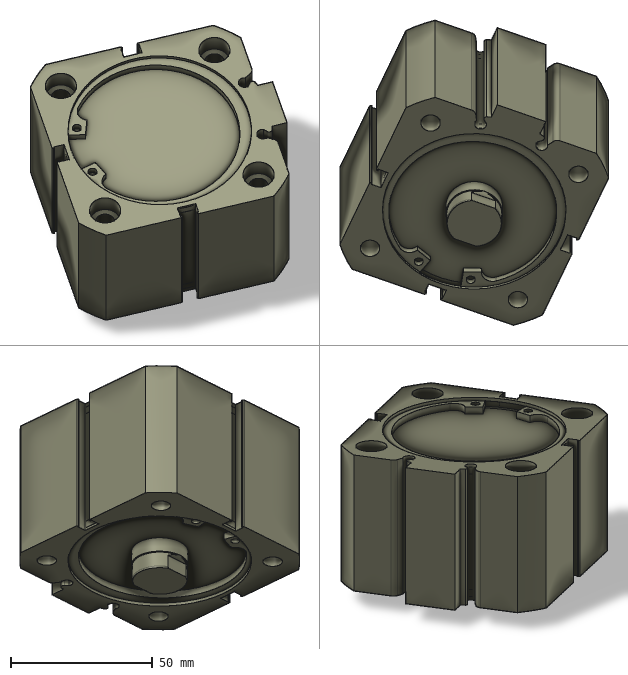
import cadquery as cq
import math

side = 77.5
height = 51.5
corner_radius = 49.55
half_side = side / 2

rib_half_width = 9.3
rib_projection = 5.5

bolt_pitch = 56.5
bolt_hole_diameter = 6.8
counterbore_diameter = 10.95
counterbore_depth = 7.0

slot_depth = 4.5
slot_floor = half_side - slot_depth
slot_neck_width = 5.5
slot_inner_width = 6.7
slot_lip_thickness = 0.8
slot_chamfer = 0.4

wing_nose_start = (11.0, 38.2)
wing_nose_tip = (11.45, 37.4)
wing_nose_end = (10.95, 36.35)
round_centre = (11.7, 34.5)
round_radius = 2.1
round_wing_angle = math.radians(155)
round_flank_angle = math.radians(25)
flank_angle = math.radians(60)
flank_fillet = 2.4

bore_radius = 32.45
groove_inset = 1.25
ring_thickness = 2.65
groove_radius = 34.0

ring_inner_radius = 29.7
ring_eccentricity = 1.4
relief_radius = 4.15
relief_angle = 38.3
ear_angle = 20.8
ear_half_angle = 6.9
ear_tip_distance = 26.15
ear_hole_distance = 29.4
ear_hole_angle = 19.8
ear_hole_diameter = 3.1

cover_thickness = 14.9
cover_inset = groove_inset + ring_thickness

rod_diameter = 20.0
rod_end_diameter = 19.5
rod_radius = rod_diameter / 2
rod_end_radius = rod_end_diameter / 2
rod_projection = 8.05
rod_shoulder_drop = 1.6
rod_tip_chamfer_height = 0.6
rod_tip_chamfer_width = 0.2
flats_width = 17.2
flats_drop = 2.9


def polar_point(radius, degrees, centre_y=0.0):
    """Point at an angle from -Y, turning toward -X, about (0, centre_y)."""
    angle = math.radians(degrees)
    return (-radius * math.sin(angle), centre_y - radius * math.cos(angle))


def mirror_x(point):
    return (-point[0], point[1])


def make_t_slot():
    """T-slot cutter for the -Y side, running the full height."""
    neck = slot_neck_width / 2
    inner = slot_inner_width / 2
    lip = -half_side + slot_lip_thickness
    right_side = [
        (neck + slot_chamfer, -half_side),
        (neck, -half_side + slot_chamfer),
        (neck, lip),
        (inner, lip),
        (inner, -slot_floor),
    ]
    left_side = [mirror_x(point) for point in reversed(right_side)]
    return cq.Workplane("XY").polyline(right_side + left_side).close().extrude(height)


def make_undercut_slot():
    """Cutter for the slot between the +X side of the rib and the housing top edge."""
    def on_round(angle):
        return (round_centre[0] + round_radius * math.cos(angle),
                round_centre[1] + round_radius * math.sin(angle))

    round_bottom = on_round(math.radians(-90))
    flank_start = on_round(round_flank_angle)
    crest_x = flank_start[0] + (half_side - flank_start[1]) / math.tan(flank_angle)
    tangent = flank_fillet * math.tan(flank_angle / 2)
    fillet_start = (crest_x - tangent * math.cos(flank_angle), half_side - tangent * math.sin(flank_angle))
    fillet_centre = (crest_x + tangent, half_side - flank_fillet)
    middle_angle = math.pi / 2 + flank_angle / 2
    fillet_middle = (fillet_centre[0] + flank_fillet * math.cos(middle_angle),
                     fillet_centre[1] + flank_fillet * math.sin(middle_angle))
    return (
        cq.Workplane("XY")
        .moveTo(rib_half_width, half_side)
        .lineTo(*wing_nose_start)
        .threePointArc(wing_nose_tip, wing_nose_end)
        .lineTo(*on_round(round_wing_angle))
        .threePointArc(round_bottom, flank_start)
        .lineTo(*fillet_start)
        .threePointArc(fillet_middle, (crest_x + tangent, half_side))
        .close()
        .extrude(height)
    )


def make_housing():
    block = cq.Workplane("XY").rect(side, side).extrude(height)
    body = block.intersect(cq.Workplane("XY").circle(corner_radius).extrude(height))
    rib_top = half_side + rib_projection
    rib = cq.Workplane("XY").rect(2 * rib_half_width, rib_top).extrude(height)
    body = body.union(rib.translate((0, rib_top / 2, 0)))

    t_slot = make_t_slot()
    for turn in (-90, 0, 90):
        body = body.cut(t_slot.rotate((0, 0, 0), (0, 0, 1), turn))
    undercut = make_undercut_slot()
    body = body.cut(undercut).cut(undercut.mirror("YZ"))

    body = (
        body.faces(">Z").workplane(origin=(0, 0, height))
        .rect(bolt_pitch, bolt_pitch, forConstruction=True).vertices()
        .cboreHole(bolt_hole_diameter, counterbore_diameter, counterbore_depth)
    )

    body = body.cut(cq.Workplane("XY").circle(bore_radius).extrude(height))
    groove = cq.Workplane("XY").circle(groove_radius).extrude(ring_thickness)
    for groove_bottom in (groove_inset, height - cover_inset):
        body = body.cut(groove.translate((0, 0, groove_bottom)))
    return body


def make_retaining_ring(bottom):
    """Eccentric ring, open at -Y between two ears with plier holes."""
    relief_centre = polar_point(ring_inner_radius - relief_radius, relief_angle, -ring_eccentricity)
    relief_start = polar_point(ring_inner_radius, relief_angle, -ring_eccentricity)
    relief_bottom = (relief_centre[0], relief_centre[1] - relief_radius)
    ear_corner_radius = ear_tip_distance / math.cos(math.radians(ear_half_angle))
    ear_outer_corner = polar_point(ear_corner_radius, ear_angle + ear_half_angle)
    ear_inner_corner = polar_point(ear_corner_radius, ear_angle - ear_half_angle)
    gap_end = polar_point(groove_radius + ring_thickness, ear_angle - ear_half_angle)

    opening = (
        cq.Workplane("XY")
        .moveTo(*gap_end)
        .lineTo(*ear_inner_corner)
        .lineTo(*ear_outer_corner)
        .threePointArc(relief_bottom, relief_start)
        .threePointArc((0, ring_inner_radius - ring_eccentricity), mirror_x(relief_start))
        .threePointArc(mirror_x(relief_bottom), mirror_x(ear_outer_corner))
        .lineTo(*mirror_x(ear_inner_corner))
        .lineTo(*mirror_x(gap_end))
        .close()
        .extrude(ring_thickness)
    )
    ear_hole = polar_point(ear_hole_distance, ear_hole_angle)
    plier_holes = (
        cq.Workplane("XY").pushPoints([ear_hole, mirror_x(ear_hole)])
        .circle(ear_hole_diameter / 2).extrude(ring_thickness)
    )
    ring = cq.Workplane("XY").circle(groove_radius).extrude(ring_thickness).cut(opening).cut(plier_holes)
    return ring.translate((0, 0, bottom))


def make_rear_cover():
    """Plain disc held below the upper ring."""
    bottom = height - cover_inset - cover_thickness
    return cq.Workplane("XY").workplane(offset=bottom).circle(bore_radius).extrude(cover_thickness)


def make_front_cover():
    """Disc held above the lower ring, with the hole that guides the rod."""
    return (
        cq.Workplane("XY").workplane(offset=cover_inset)
        .circle(bore_radius).circle(rod_radius).extrude(cover_thickness)
    )


def make_rod():
    """Turned rod from the rear cover out through the front cover, with two wrench flats."""
    top = height - cover_inset - cover_thickness
    step = rod_radius - rod_end_radius
    rod = (
        cq.Workplane("XZ")
        .polyline([
            (0, top),
            (rod_radius, top),
            (rod_radius, -rod_shoulder_drop),
            (rod_end_radius, -rod_shoulder_drop - step),
            (rod_end_radius, -rod_projection + rod_tip_chamfer_height),
            (rod_end_radius - rod_tip_chamfer_width, -rod_projection),
            (0, -rod_projection),
        ])
        .close()
        .revolve(360, (0, 0, 0), (0, 1, 0))
    )
    flat = flats_width / 2
    run_out = rod_radius - flat
    flat_cut = (
        cq.Workplane("YZ")
        .polyline([
            (flat, -rod_projection),
            (flat, -flats_drop),
            (rod_radius, -flats_drop + run_out),
            (rod_radius, -rod_projection),
        ])
        .close()
        .extrude(rod_radius, both=True)
    )
    return rod.cut(flat_cut).cut(flat_cut.mirror("XZ"))


housing = make_housing()
rear_cover = make_rear_cover()
front_cover = make_front_cover()
rod = make_rod()
retaining_rings = [make_retaining_ring(bottom) for bottom in (groove_inset, height - cover_inset)]

result = cq.Compound.makeCompound([
    housing.val(),
    rear_cover.val(),
    front_cover.val(),
    rod.val(),
    *[ring.val() for ring in retaining_rings],
])